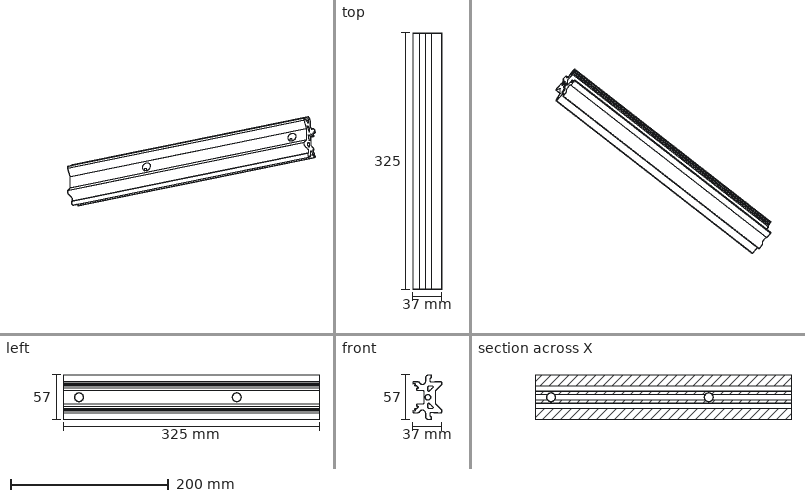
import cadquery as cq
import math

LENGTH = 325.0
WIDTH = 37.0
HEIGHT = 57.0
HALF_WIDTH = WIDTH / 2
HALF_HEIGHT = HEIGHT / 2

WEB_LEFT = -4.5
WEB_RIGHT = 10.4

FLANGE_TOP = 20.0
FLANGE_TIP_BOTTOM = 16.2
FLANGE_ROOT = FLANGE_TIP_BOTTOM - (HALF_WIDTH - WEB_RIGHT)
FLANGE_FLAT_LEFT = 14.2
FLANGE_DIP_BOTTOM = 19.3
FLANGE_TIP_RADIUS = 2.0

HOOK_LEFT = -2.4
HOOK_RIGHT = 5.2
HOOK_NECK_RIGHT = 3.5
HOOK_NECK_TOP = 23.5
HOOK_HEAD_BOTTOM = 25.0
HOOK_BACK_TOP_LEFT = -1.3
HOOK_BACK_RADIUS = 4.8
HOOK_NOSE_RADIUS = 1.0
HOOK_FOOT_RADIUS = 1.0

COVE_RADIUS = 4.0
COVE_SLOPE = math.radians(60)

JAW_TOP = FLANGE_TOP
SHOULDER_RIGHT = -11.8
SHOULDER_RADIUS = 4.2
SHOULDER_CREASE = (-10.3, 19.1)
JAW_TIP_RADIUS = 2.0
LIP_BOTTOM = 17.0
LIP_INNER = (-17.5, 17.4)
LIP_ROOT = (-15.8, 17.3)
TOOTH_TOP = (-15.6, 16.2)
TOOTH_TIP = (-16.5, 15.3)
TOOTH_BOTTOM = (-15.6, 14.5)
TOOTH_ROOT = (-14.0, 14.5)
NOTCH_CORNER = (-11.3, 11.8)
FOOT_LEFT = -13.6
FOOT_TOP = 11.6
FOOT_BOTTOM = 8.4
FOOT_RADIUS = 1.2
FOOT_ROOT_RADIUS = 0.8

CHANNEL_LEFT = 0.6
CHANNEL_RIGHT = 8.7
CHANNEL_TOP = 14.2
CHANNEL_TIP_RADIUS = 1.1
CHANNEL_SQUARE_RADIUS = 1.8

BORE_DIAMETER = 6.8
BORE_X = 0.7

MOUNT_DIAMETER = 10.9
MOUNT_SPACING = 200.0
MOUNT_END_DISTANCE = 20.0


def extrude_along_y(sketch):
    """Extrude a closed XZ outline over the full length, centred on Y = 0."""
    return sketch.extrude(LENGTH / 2, both=True)


def corner_arc(before, corner, after, radius):
    """Start, middle and end of the arc that rounds a corner between two neighbouring points."""
    apex = cq.Vector(*corner)
    toward_before = (cq.Vector(*before) - apex).normalized()
    toward_after = (cq.Vector(*after) - apex).normalized()
    half_angle = toward_before.getAngle(toward_after) / 2
    setback = radius / math.tan(half_angle)
    bisector = (toward_before + toward_after).normalized()
    middle = apex + bisector * (radius / math.sin(half_angle) - radius)
    start = apex + toward_before * setback
    end = apex + toward_after * setback
    return [(point.x, point.y) for point in (start, middle, end)]


def rounded_outline(corners):
    """Closed XZ outline through (point, radius) corners; radius 0 is sharp, as the first must be."""
    sketch = cq.Workplane("XZ").moveTo(*corners[0][0])
    for i in range(1, len(corners)):
        point, radius = corners[i]
        if radius == 0:
            sketch = sketch.lineTo(*point)
        else:
            after = corners[(i + 1) % len(corners)][0]
            start, middle, end = corner_arc(corners[i - 1][0], point, after, radius)
            sketch = sketch.lineTo(*start).threePointArc(middle, end)
    return sketch.close()


def upper_half():
    """Upper half of the profile: web, right flange, hook, cove and left jaw."""
    crease_x, crease_z = SHOULDER_CREASE
    cove_corner_z = crease_z - (HOOK_LEFT - crease_x) * math.tan(COVE_SLOPE)

    web_and_flange = [
        ((WEB_LEFT, 0), 0),
        ((WEB_RIGHT, 0), 0),
        ((WEB_RIGHT, FLANGE_ROOT), 0),
        ((HALF_WIDTH, FLANGE_TIP_BOTTOM), 0),
        ((HALF_WIDTH, FLANGE_TOP), FLANGE_TIP_RADIUS),
        ((FLANGE_FLAT_LEFT, FLANGE_TOP), 0),
    ]
    hook_and_cove = [
        ((HOOK_NECK_RIGHT, FLANGE_DIP_BOTTOM), HOOK_FOOT_RADIUS),
        ((HOOK_NECK_RIGHT, HOOK_NECK_TOP), 0),
        ((HOOK_RIGHT, HOOK_HEAD_BOTTOM), 0),
        ((HOOK_RIGHT, HALF_HEIGHT), HOOK_NOSE_RADIUS),
        ((HOOK_BACK_TOP_LEFT, HALF_HEIGHT), HOOK_BACK_RADIUS),
        ((HOOK_LEFT, HOOK_HEAD_BOTTOM), 0),
        ((HOOK_LEFT, cove_corner_z), COVE_RADIUS),
    ]
    jaw = [
        (SHOULDER_CREASE, 0),
        ((SHOULDER_RIGHT, JAW_TOP), SHOULDER_RADIUS),
        ((-HALF_WIDTH, JAW_TOP), JAW_TIP_RADIUS),
        ((-HALF_WIDTH, LIP_BOTTOM), 0),
        (LIP_INNER, 0),
        (LIP_ROOT, 0),
        (TOOTH_TOP, 0),
        (TOOTH_TIP, 0),
        (TOOTH_BOTTOM, 0),
        (TOOTH_ROOT, 0),
        (NOTCH_CORNER, 0),
        ((FOOT_LEFT, FOOT_TOP), FOOT_RADIUS),
        ((FOOT_LEFT, FOOT_BOTTOM), FOOT_RADIUS),
        ((WEB_LEFT, FOOT_BOTTOM), FOOT_ROOT_RADIUS),
    ]
    return extrude_along_y(rounded_outline(web_and_flange + hook_and_cove + jaw))


def upper_channel():
    """Right-angled triangular channel whose long side runs parallel to the flange underside."""
    channel_bottom = CHANNEL_TOP - (CHANNEL_RIGHT - CHANNEL_LEFT)
    outline = rounded_outline([
        ((CHANNEL_LEFT, (CHANNEL_TOP + channel_bottom) / 2), 0),
        ((CHANNEL_LEFT, CHANNEL_TOP), CHANNEL_SQUARE_RADIUS),
        ((CHANNEL_RIGHT, CHANNEL_TOP), CHANNEL_TIP_RADIUS),
        ((CHANNEL_LEFT, channel_bottom), CHANNEL_TIP_RADIUS),
    ])
    return extrude_along_y(outline)


def bore():
    """Round bore through the web along the length."""
    return extrude_along_y(cq.Workplane("XZ").center(BORE_X, 0).circle(BORE_DIAMETER / 2))


def mounting_holes():
    """Two holes through the web along X, the first set back from the +Y end."""
    first_y = LENGTH / 2 - MOUNT_END_DISTANCE
    return (
        cq.Workplane("YZ")
        .pushPoints([(first_y, 0), (first_y - MOUNT_SPACING, 0)])
        .circle(MOUNT_DIAMETER / 2)
        .extrude(HALF_WIDTH, both=True)
    )


upper = upper_half().cut(upper_channel())
rail = upper.union(upper.mirror("XY")).clean()
result = rail.cut(bore()).cut(mounting_holes())